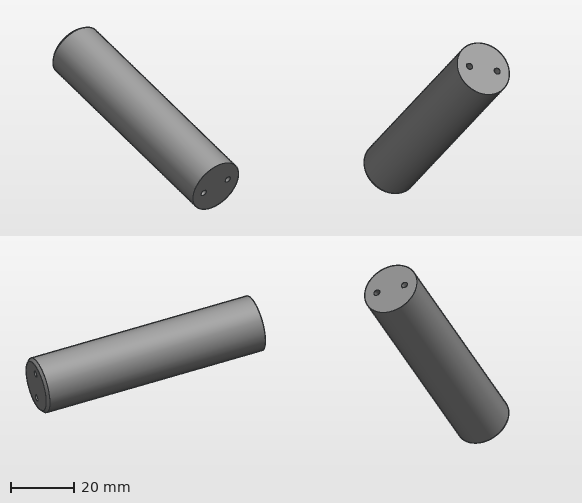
import cadquery as cq

length = 75.0
diameter = 18.0
chamfer = 0.9
channel_diameter = 2.0
channel_y = 0.45
channel_z = 4.7
helix_pitch = 97.5


def chamfered_rod():
    """Round rod along X, chamfered at its -X end."""
    rod = cq.Workplane("YZ").circle(diameter / 2).extrude(length)
    return rod.faces("<X").chamfer(chamfer)


def helical_channels():
    """Two opposite channels that twist about the rod axis over its full length."""
    centers = [(channel_y, channel_z), (-channel_y, -channel_z)]
    twist_angle = 360 * length / helix_pitch
    sections = cq.Workplane("YZ").pushPoints(centers).circle(channel_diameter / 2)
    return sections.twistExtrude(length, twist_angle)


drilled_rod = chamfered_rod().cut(helical_channels())

result = drilled_rod.translate((-length / 2, 0, 0))